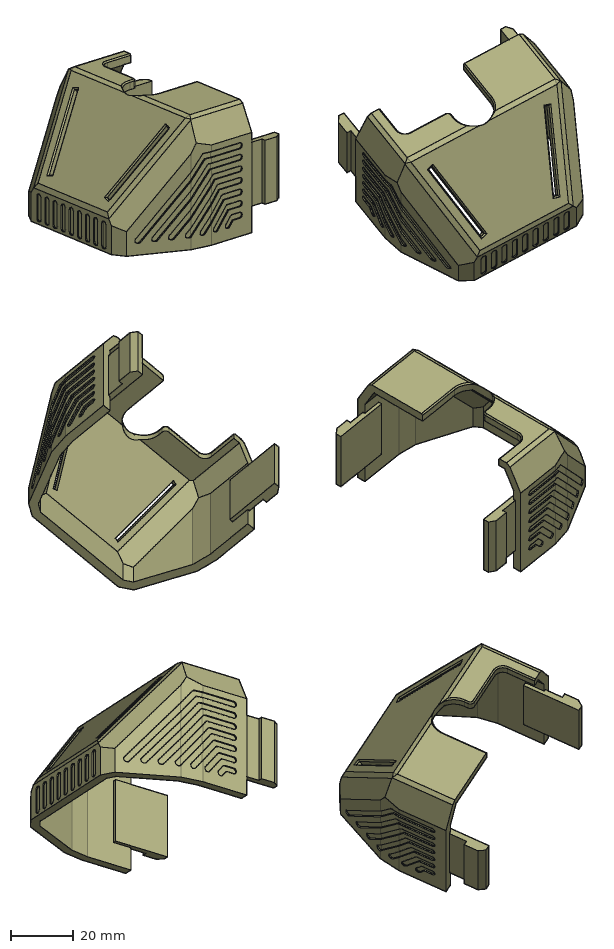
import cadquery as cq
import math

WIDTH = 68.8
DEPTH = 47.05
HEIGHT = 44.3
WALL = 3.0
PANEL_WALL = 2.2
EDGE_CHAMFER = 1.0
FINE_CHAMFER = 0.5
REACH = 137.6

FRONT_HALF = 19.7
CORNER_X, CORNER_Y = 24.0, 2.7
CHEEK_X, CHEEK_Y = 33.15, 22.3
FLANK_X, FLANK_Y = WIDTH / 2, 29.85

FRONT_TOP = 13.0
RIDGE_Y = 24.9
PANEL_RISE = (HEIGHT - FRONT_TOP) / RIDGE_Y
PANEL_ANGLE = math.atan(PANEL_RISE)

ROOF_HALF = 29.45
FLANK_TOP = 34.6
CHEEK_LEAN = (CHEEK_X - CORNER_X) / (CHEEK_Y - CORNER_Y)
PANEL_FRONT_HALF = ROOF_HALF - RIDGE_Y * CHEEK_LEAN
CORNER_TOP = 8.5
PANEL_LENGTH = RIDGE_Y / math.cos(PANEL_ANGLE)
PANEL_LEAN = math.atan2(ROOF_HALF - PANEL_FRONT_HALF, PANEL_LENGTH)

NOTCH_RADIUS = 7.0
NOTCH_Y = 31.1
POCKET_X = -25.05
POCKET_Y = 34.0
POCKET_RADIUS = 3.0
POCKET_LIP_RADIUS = 1.5
NOTCH_DEPTH = 12.4

SLOT_X = 18.2
SLOT_UP_PANEL = 19.55
SLOT_LENGTH = 30.0
SLOT_WIDTH = 1.5

GROOVE_DEPTH = 0.5
GROOVE_WIDTH = 2.0
GROOVE_PITCH = 4.0
FRONT_GROOVES = 9
FRONT_GROOVE_BOTTOM = 0.95
FRONT_GROOVE_TOP = 10.5
SIDE_GROOVES = 7
SIDE_GROOVE_BACK_Y = 42.0
SIDE_GROOVE_LOW_Y = 36.9
SIDE_GROOVE_LOW_Z = 5.1
SIDE_GROOVE_FIRST_Z = 7.3

ARM_X = 30.1
ARM_THICKNESS = 2.0
ARM_BOTTOM = 8.0
ARM_TOP = 30.1
ARM_ROOT_Y = 40.2
ARM_END_Y = 60.5
HOOK_DEPTH = 1.5
HOOK_Y = 53.3
HOOK_TAPER = 2.1

SIDES = (-1, 1)
UP = cq.Vector(0, 0, 1)
FORWARD = cq.Vector(0, -1, 0)
PANEL_NORMAL = cq.Vector(0, -math.sin(PANEL_ANGLE), math.cos(PANEL_ANGLE))
RIDGE = cq.Vector(0, RIDGE_Y, HEIGHT)
PANEL_FOOT = cq.Vector(0, 0, FRONT_TOP)


def roof_edge(side):
    """Point where the roof meets one shoulder facet."""
    return cq.Vector(side * ROOF_HALF, DEPTH, HEIGHT)


def panel_corner(side):
    """Point where the sloping panel, one facet and the front face meet."""
    return cq.Vector(side * PANEL_FRONT_HALF, 0, FRONT_TOP)


def mirrored(shape):
    """The shape together with its mirror image across the YZ plane."""
    return shape.union(shape.mirror("YZ"))


def plan_prism(inset=0.0):
    """Vertical prism of the plan outline, optionally inset."""
    half = [
        (FRONT_HALF, 0),
        (CORNER_X, CORNER_Y),
        (CHEEK_X, CHEEK_Y),
        (FLANK_X, FLANK_Y),
        (FLANK_X, DEPTH),
    ]
    other_half = [(-x, y) for x, y in reversed(half)]
    outline = cq.Workplane("XY").polyline(half + other_half).close()
    if inset:
        outline = outline.offset2D(-inset)
    return outline.extrude(HEIGHT)


def trim(body, point, outward):
    """Remove everything on the outward side of a plane through the point."""
    plane = cq.Plane(origin=point, normal=outward)
    return body.cut(cq.Workplane(plane).rect(REACH, REACH).extrude(REACH))


def chamfer_edge(body, point, first_normal, second_normal):
    """Cut the edge through the point back equally on the two faces it joins."""
    outward = (first_normal + second_normal).normalized()
    depth = EDGE_CHAMFER * math.sin(first_normal.getAngle(second_normal) / 2)
    return trim(body, point - outward * depth, outward)


def facet_normal(side):
    """Outward normal of the facet between one cheek and the sloping panel."""
    along = cq.Vector(CHEEK_LEAN, 1, PANEL_RISE)
    across = cq.Vector(PANEL_FRONT_HALF - CORNER_X, -CORNER_Y, FRONT_TOP - CORNER_TOP)
    normal = along.cross(across).normalized()
    return cq.Vector(side * normal.x, normal.y, normal.z)


def shoulder_normal(side):
    """Outward normal of the facet between one flank and the roof."""
    return cq.Vector(side * (HEIGHT - FLANK_TOP), 0, FLANK_X - ROOF_HALF).normalized()


def cover_solid(inset=0.0, panel_inset=0.0):
    """Sharp-edged form of the cover, with its faces and its sloping panel optionally moved inwards."""
    body = trim(plan_prism(inset), RIDGE - UP * inset, UP)
    body = trim(body, RIDGE - PANEL_NORMAL * panel_inset, PANEL_NORMAL)
    for side in SIDES:
        shoulder = shoulder_normal(side)
        facet = facet_normal(side)
        body = trim(body, roof_edge(side) - shoulder * inset, shoulder)
        body = trim(body, panel_corner(side) - facet * inset, facet)
    return body


def cavity():
    """Space inside the walls, open at the back and underneath."""
    core = cover_solid(WALL, PANEL_WALL)
    return core.union(core.translate((0, WALL, 0)))


def trim_ridge_corner(body, side):
    """Flatten the corner where the chamfers of the roof and the sloping panel meet."""
    roof_point = cq.Vector(side * (ROOF_HALF - EDGE_CHAMFER), RIDGE_Y + EDGE_CHAMFER, HEIGHT)
    drop = EDGE_CHAMFER * math.sin(PANEL_ANGLE)
    step = EDGE_CHAMFER * math.cos(PANEL_ANGLE)
    edge_x = ROOF_HALF - EDGE_CHAMFER * math.tan(PANEL_LEAN)
    panel_x = edge_x - EDGE_CHAMFER / math.cos(PANEL_LEAN)
    panel_point = cq.Vector(side * panel_x, RIDGE_Y - step, HEIGHT - drop)

    shoulder = shoulder_normal(side)
    facet = facet_normal(side)
    down_shoulder = cq.Vector(side * shoulder.z, 0, -abs(shoulder.x)) * EDGE_CHAMFER
    start = cq.Vector(side * ROOF_HALF, RIDGE_Y, HEIGHT) + down_shoulder
    shift_y = (panel_corner(side) - start).dot(facet) / facet.y
    side_point = start + cq.Vector(0, shift_y, 0)

    outward = (panel_point - roof_point).cross(side_point - roof_point) * side
    return trim(body, roof_point, outward)


def chamfer_upper_edges(body):
    """Chamfer the edges around the sloping panel and along both sides of the roof."""
    body = chamfer_edge(body, RIDGE, UP, PANEL_NORMAL)
    body = chamfer_edge(body, PANEL_FOOT, FORWARD, PANEL_NORMAL)
    for side in SIDES:
        body = chamfer_edge(body, roof_edge(side), UP, shoulder_normal(side))
        body = chamfer_edge(body, panel_corner(side), PANEL_NORMAL, facet_normal(side))
        body = trim_ridge_corner(body, side)
    return body


def notch_outline(z, grow=0.0):
    """Roof notch: a round-ended channel with a shallower pocket on its -X side."""
    back = DEPTH + WALL
    radius = NOTCH_RADIUS + grow
    corner = POCKET_RADIUS + grow
    lip = POCKET_LIP_RADIUS - grow
    left = POCKET_X - grow
    front = POCKET_Y - grow
    return (
        cq.Workplane("XY", origin=(0, 0, z))
        .moveTo(radius, back)
        .lineTo(radius, NOTCH_Y)
        .threePointArc((0, NOTCH_Y - radius), (-radius, NOTCH_Y))
        .lineTo(-radius, front - lip)
        .radiusArc((-radius - lip, front), -lip)
        .lineTo(left + corner, front)
        .radiusArc((left, front + corner), corner)
        .lineTo(left, back)
        .close()
    )


def cut_notch(body):
    """Cut the notch through the roof and chamfer its upper rim."""
    rim_z = HEIGHT - FINE_CHAMFER
    opening = notch_outline(HEIGHT - NOTCH_DEPTH).extrude(NOTCH_DEPTH)
    rim = notch_outline(rim_z).extrude(FINE_CHAMFER, taper=-45)
    return body.cut(opening).cut(rim)


def panel_slots():
    """Long slots beside the slanted edges of the panel, with chamfered mouths."""
    panel = cq.Plane(origin=PANEL_FOOT, xDir=(1, 0, 0), normal=PANEL_NORMAL)
    centre = (
        cq.Workplane(panel)
        .center(SLOT_X, SLOT_UP_PANEL)
        .transformed(rotate=(0, 0, -math.degrees(PANEL_LEAN)))
    )
    slot = centre.rect(SLOT_WIDTH, SLOT_LENGTH).extrude(-2 * WALL)
    mouth = (
        centre.rect(SLOT_WIDTH + 2 * FINE_CHAMFER, SLOT_LENGTH + 2 * FINE_CHAMFER)
        .extrude(-FINE_CHAMFER, taper=45)
    )
    return mirrored(slot.union(mouth))


def groove_leg(start, end):
    """Round-ended groove leg between two (y, z) points, running across the full width."""
    run = end[0] - start[0]
    rise = end[1] - start[1]
    length = math.hypot(run, rise) + GROOVE_WIDTH
    return (
        cq.Workplane("YZ")
        .center((start[0] + end[0]) / 2, (start[1] + end[1]) / 2)
        .slot2D(length, GROOVE_WIDTH, math.degrees(math.atan2(rise, run)))
        .extrude(WIDTH / 2, both=True)
    )


def side_grooves():
    """Nested bent grooves, kept to an even depth by removing the inset core."""
    diagonal_pitch = GROOVE_PITCH / math.sin(PANEL_ANGLE)
    core = plan_prism(inset=GROOVE_DEPTH)
    grooves = cq.Workplane("XY")
    for index in range(SIDE_GROOVES):
        z = SIDE_GROOVE_FIRST_Z + index * GROOVE_PITCH
        low = (SIDE_GROOVE_LOW_Y - index * diagonal_pitch, SIDE_GROOVE_LOW_Z)
        bend = (low[0] + (z - low[1]) / PANEL_RISE, z)
        back = (SIDE_GROOVE_BACK_Y, z)
        grooves = grooves.add(groove_leg(back, bend).union(groove_leg(bend, low)))
    return grooves.combine().cut(core)


def front_grooves():
    """Row of upright round-ended grooves in the front face."""
    return (
        cq.Workplane("XZ", origin=(0, 0, (FRONT_GROOVE_BOTTOM + FRONT_GROOVE_TOP) / 2))
        .rarray(GROOVE_PITCH, 0.7, FRONT_GROOVES, 1)
        .slot2D(FRONT_GROOVE_TOP - FRONT_GROOVE_BOTTOM, GROOVE_WIDTH, 90)
        .extrude(-GROOVE_DEPTH)
    )


def snap_arms():
    """Arms rooted inside the side walls, with outward hooks at the tips."""
    outer = ARM_X + ARM_THICKNESS
    hook = outer + HOOK_DEPTH
    outline = [
        (ARM_X, ARM_ROOT_Y),
        (outer, ARM_ROOT_Y),
        (outer, HOOK_Y),
        (hook, HOOK_Y),
        (hook, ARM_END_Y - HOOK_TAPER),
        (outer, ARM_END_Y),
        (ARM_X, ARM_END_Y),
    ]
    arm = (
        cq.Workplane("XY", origin=(0, 0, ARM_BOTTOM))
        .polyline(outline)
        .close()
        .extrude(ARM_TOP - ARM_BOTTOM)
    )
    return mirrored(arm)


cover = chamfer_upper_edges(cover_solid())
cover = cover.cut(cavity())
cover = cut_notch(cover)
cover = cover.cut(panel_slots()).cut(side_grooves()).cut(front_grooves())
result = cover.union(snap_arms())